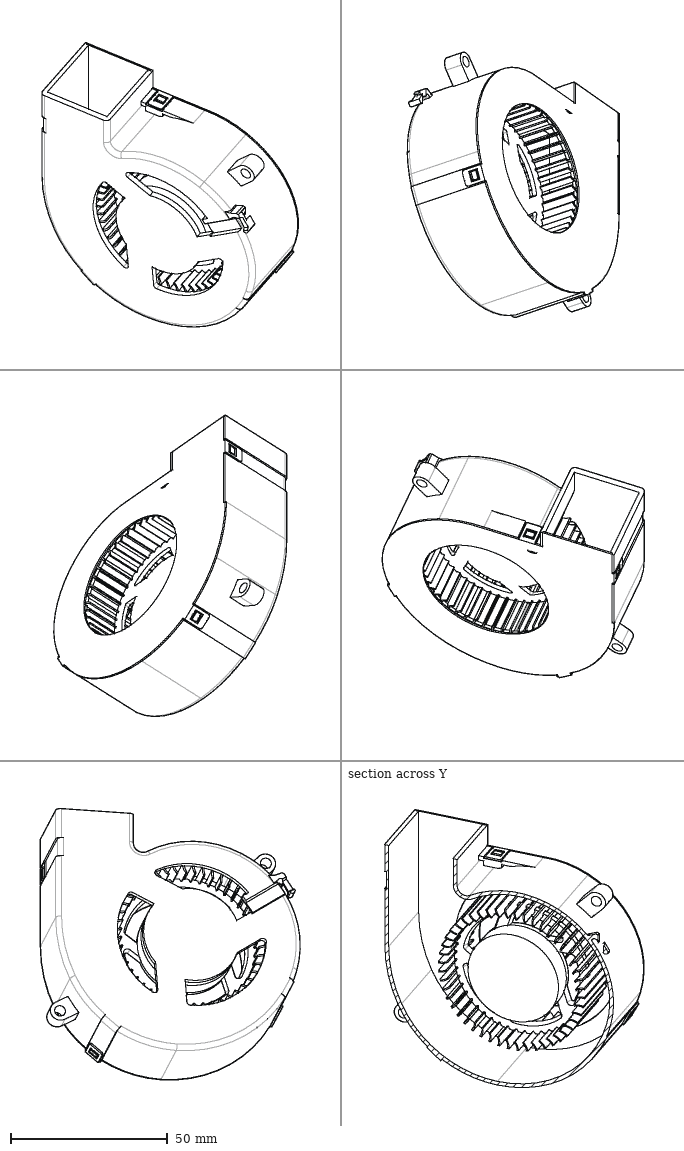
import cadquery as cq
import math


depth = 28.0
wall = 1.5
front_plate = 2.0
front_fillet = 1.6
duct_left = -43.9
duct_right = -18.7
duct_top = 40.0
scroll_start_z = 3.3
neck_radius = 2.9
scroll_arcs = [(48.95, 205.0), (38.1, 270.0), (40.5, 345.0), (33.35, 425.0)]
last_scroll_radius = 32.7

hub_radius = 15.7
inlet_radius = 24.2
inlet_corner = 1.1
bridge_count = 3
bridge_angle = 34.5
bridge_low = -12.6
bridge_high = -3.4

groove_start = 21.7
groove_centre = -1.7
groove_width = 4.85
groove_depth = 1.0
groove_taper = 25.0
landing_high = 2.55
landing_low = -4.8
hook_depth = 4.2
hook_gap_start = 30.0
hook_gap_end = 31.8

ear_radius = 3.2
ear_hole = 3.5
ear_thickness = 6.1
ears = [(26.1, 30.4, 46.0), (-40.75, -24.9, 210.0)]
ear_length = 11.15

shelf_right = 1.75
shelf_top = 32.5
shelf_depth = 7.6

cover_thickness = 0.55
cover_inset = 0.7
cover_opening_radius = 21.5
tab_thickness = 0.55
tab_width = 5.4
tab_length = 7.3
tab_corner = 0.8
tab_window = (3.4, 3.3)
tab_window_back = 1.7
latch = (2.9, 1.8)
latch_back = 2.3
pad_width = 6.2
pad_root = 3.2
clips = [
    (180.0, -duct_left, -27.1, depth),
    (90.0, shelf_top, 13.85, shelf_depth),
    (-129.3, 43.1, 0.0, depth),
    (-26.8, 36.4, 0.0, depth),
]

drum_front = 4.6
web_front = 11.1
web_thickness = 2.0
web_radius = 23.2
window_radius = 20.4
window_inner = 14.9
window_corner = 1.3
window_draft = 20.0
arm_count = 5
arm_low = 9.1
arm_high = 12.5
blade_count = 48
blade_phase = -2.6
blade_front = 3.1
blade_outer = 25.3
ring_inner = 24.8
ring_outer = 28.2
ring_front = 23.8
ring_thickness = 1.1

margin = 7.95


def plane_at(y):
    """Workplane at the given y, with local axes along X and Z; extrude(-d) runs toward +Y."""
    return cq.Workplane("XZ", origin=(0, y, 0))


def block(x0, x1, y0, y1, z0, z1):
    """Axis-aligned box between two corners."""
    return cq.Workplane("XY").box(x1 - x0, y1 - y0, z1 - z0, centered=False).translate((x0, y0, z0))


def turned(body, degrees):
    """Turn a body about the impeller axis, from +X toward +Z."""
    return body.rotate((0, 0, 0), (0, 1, 0), -degrees)


def disc(radius, y0, thickness):
    return plane_at(y0).circle(radius).extrude(-thickness)


def polar(radius, degrees, centre=(0.0, 0.0)):
    angle = math.radians(degrees)
    return (centre[0] + radius * math.cos(angle), centre[1] + radius * math.sin(angle))


def housing_outline(y):
    """Scroll of tangent arcs with its straight outlet duct."""
    outline = plane_at(y).moveTo(duct_left, duct_top).lineTo(duct_left, scroll_start_z)

    centre = (duct_left + scroll_arcs[0][0], scroll_start_z)
    start_angle = 180.0
    next_radii = [radius for radius, _ in scroll_arcs[1:]] + [last_scroll_radius]
    for (radius, end_angle), next_radius in zip(scroll_arcs, next_radii):
        middle = polar(radius, (start_angle + end_angle) / 2, centre)
        outline = outline.threePointArc(middle, polar(radius, end_angle, centre))
        centre = polar(radius - next_radius, end_angle, centre)
        start_angle = end_angle

    neck_x = duct_right + neck_radius
    centre_distance = last_scroll_radius + neck_radius
    neck_angle = math.degrees(math.acos((neck_x - centre[0]) / centre_distance))
    neck_centre = polar(centre_distance, neck_angle, centre)
    last_middle = polar(last_scroll_radius, (start_angle + neck_angle + 360) / 2, centre)
    neck_middle = polar(neck_radius, neck_angle / 2 - 180, neck_centre)
    return (
        outline.threePointArc(last_middle, polar(last_scroll_radius, neck_angle, centre))
        .threePointArc(neck_middle, (duct_right, neck_centre[1]))
        .lineTo(duct_right, duct_top)
        .close()
    )


def shelf(y, length, thickness):
    """Flat slab below the shelf top, from the duct to the top of the scroll."""
    return block(duct_right - wall, shelf_right, y, y + length, shelf_top - thickness, shelf_top)


def clip_place(body, clip):
    """Move a body built on a clip facing +X at distance zero to that clip's place."""
    angle, distance, offset, _ = clip
    return turned(body.translate((distance, 0, offset)), angle)


def clip_pad(clip):
    """Flat seat behind a clip tab, rounded at the front plate."""
    pad_length = clip[3]
    pad = block(-pad_root, -tab_thickness, depth - pad_length, depth, -pad_width / 2, pad_width / 2)
    if pad_length == depth:
        pad = pad.edges("<Y and >X").fillet(front_fillet)
    return clip_place(pad, clip)


def clip_clearance(clip):
    """Space around and outside a clip pad."""
    clearance = block(-pad_root, margin, depth - clip[3], depth, -pad_width / 2, pad_width / 2)
    return clip_place(clearance, clip)


def clip_latch(clip):
    latch_back_y = depth - latch_back
    nose = block(-tab_thickness, 0, latch_back_y - latch[1], latch_back_y, -latch[0] / 2, latch[0] / 2)
    return clip_place(nose, clip)


def clip_tab(clip):
    """Cover tab with the window that snaps over the latch."""
    tab = block(-tab_thickness, 0, depth - tab_length, depth, -tab_width / 2, tab_width / 2)
    tab = tab.edges("|X and <Y").fillet(tab_corner)
    window_back = depth - tab_window_back
    half_window = tab_window[0] / 2
    tab = tab.cut(
        block(-tab_thickness, 0, window_back - tab_window[1], window_back, -half_window, half_window)
    )
    root = block(-2 * wall, 0, depth - cover_thickness, depth, -tab_width / 2, tab_width / 2)
    return clip_place(tab.union(root), clip)


def inlet_openings():
    """Annular openings left between the bridges that carry the front hub."""
    openings = disc(inlet_radius, 0, front_plate).cut(disc(hub_radius, 0, front_plate))
    bridge = block(0, inlet_radius + margin, 0, front_plate, bridge_low, bridge_high)
    for index in range(bridge_count):
        openings = openings.cut(turned(bridge, bridge_angle + index * 360 / bridge_count))
    corner_edges = [
        edge
        for edge in openings.edges("|Y").vals()
        if math.hypot(edge.Center().x, edge.Center().z) > inlet_radius - 0.8
    ]
    openings = openings.newObject(corner_edges).fillet(inlet_corner)
    landing = block(groove_start, inlet_radius + margin, 0, front_plate, landing_low, landing_high)
    return openings.cut(turned(landing, bridge_angle))


def wire_groove():
    """Sloping-sided channel in the front plate, from the inlet out through the rim."""
    length = 2 * margin
    groove = (
        plane_at(0)
        .center(groove_start + length / 2, groove_centre)
        .rect(length + 1.6, groove_width)
        .extrude(-groove_depth, taper=groove_taper)
    )
    return turned(groove, bridge_angle)


def wire_hook():
    """Finger reaching over the outer end of the wire groove."""
    hook = (
        plane_at(0)
        .moveTo(24.9, 22.05)
        .lineTo(26.8, 22.2)
        .lineTo(29.2, 23.25)
        .lineTo(29.9, 23.0)
        .lineTo(33.6, 17.5)
        .threePointArc((33.1, 16.6), (32.0, 16.55))
        .lineTo(29.8, 20.45)
        .threePointArc((29.0, 21.25), (28.1, 20.85))
        .lineTo(26.7, 19.5)
        .close()
        .extrude(-hook_depth)
    )
    return hook.cut(block(hook_gap_start, hook_gap_end, front_plate, hook_depth, 0, duct_top))


def mounting_ear(x, z, direction):
    """Rounded lug at mid depth with a hole along Y."""
    y0 = (depth - ear_thickness) / 2
    lug = disc(ear_radius, y0, ear_thickness)
    lug = lug.union(block(-ear_length, 0, y0, y0 + ear_thickness, -ear_radius, ear_radius))
    lug = lug.cut(disc(ear_hole / 2, y0, ear_thickness))
    return turned(lug, direction).translate((x, 0, z))


def make_housing(cover):
    body = housing_outline(0).extrude(-depth).faces("<Y").edges("not >Z").fillet(front_fillet)
    for ear in ears:
        body = body.union(mounting_ear(*ear))
    body = body.union(shelf(depth - shelf_depth, shelf_depth, wall))
    for clip in clips:
        body = body.cut(clip_clearance(clip)).union(clip_pad(clip))
    cavity = housing_outline(front_plate).offset2D(-wall).extrude(-depth)
    outlet = block(
        duct_left + wall, duct_right - wall, front_plate, depth, duct_top - 2 * wall, duct_top
    )
    body = body.cut(cavity).cut(outlet)
    body = body.union(wire_hook()).cut(inlet_openings()).cut(wire_groove())
    for clip in clips:
        body = body.union(clip_latch(clip))
    return body.cut(cover)


def make_cover():
    y0 = depth - cover_thickness
    cover = housing_outline(y0).extrude(-cover_thickness)
    cover = cover.union(shelf(y0, cover_thickness, 3 * wall))
    left_edge = duct_left + cover_inset
    right_edge = duct_right - cover_inset
    cover = cover.cut(block(duct_left, left_edge, y0, depth, scroll_start_z, duct_top))
    cover = cover.cut(block(right_edge, duct_right, y0, depth, shelf_top, duct_top))
    cover = cover.cut(disc(cover_opening_radius, y0, cover_thickness))
    for clip in clips:
        cover = cover.union(clip_tab(clip))
    return cover


def impeller_web():
    """Disc with five windows between swirled arms; the window walls are drafted."""
    windows = disc(window_radius, 0, web_thickness).cut(disc(window_inner, 0, web_thickness))
    arm = block(0, window_radius, 0, web_thickness, arm_low, arm_high)
    for index in range(arm_count):
        windows = windows.cut(turned(arm, index * 360 / arm_count))
    corner_edges = [
        edge
        for edge in windows.edges("|Y").vals()
        if math.hypot(edge.Center().x, edge.Center().z) > window_radius - 0.8
    ]
    windows = windows.newObject(corner_edges).fillet(window_corner)
    web = disc(web_radius, 0, web_thickness)
    for face in windows.faces("<Y").vals():
        window = cq.Solid.extrudeLinear(
            face.outerWire(), [], cq.Vector(0, web_thickness, 0), window_draft
        )
        web = web.cut(cq.Workplane(window))
    return web.translate((0, web_front, 0))


def impeller_blade():
    """Forward-curved blade, at the top of the impeller."""
    return (
        plane_at(blade_front)
        .moveTo(-0.3, blade_outer)
        .threePointArc((-0.15, 23.6), (0.55, 22.2))
        .lineTo(0.95, 22.45)
        .threePointArc((0.4, 23.7), (0.3, blade_outer))
        .close()
        .extrude(-(ring_front + ring_thickness - blade_front))
    )


def make_impeller():
    impeller = impeller_web().union(disc(hub_radius, drum_front, web_front - drum_front))
    ring = disc(ring_outer, ring_front, ring_thickness).cut(disc(ring_inner, ring_front, ring_thickness))
    blades = [
        turned(impeller_blade(), blade_phase + index * 360 / blade_count).val()
        for index in range(blade_count)
    ]
    impeller = cq.Workplane(impeller.val().fuse(ring.val(), *blades))
    return impeller


cover = make_cover()
housing = make_housing(cover)
impeller = make_impeller()

result = cq.Compound.makeCompound([housing.val(), cover.val(), impeller.val()])